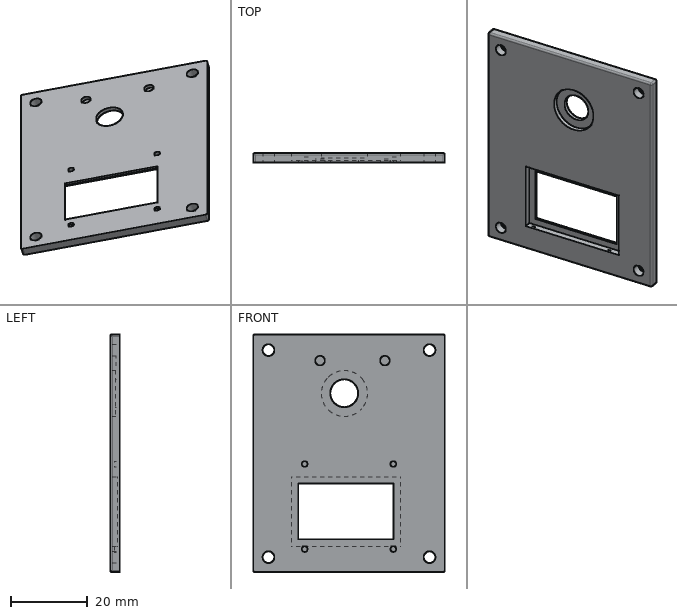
import cadquery as cq

WIDTH = 50.0
THICKNESS = 2.5
HEIGHT = 62.0
EDGE_RADIUS = 0.5

MOUNT_DIAMETER = 3.0
MOUNT_SPACING_X = 42.0
MOUNT_SPACING_Z = 54.0
MOUNT_CENTER = (0.0, -0.1)

OPENING_DIAMETER = 7.2
OPENING_CENTER = (-1.25, 15.65)
OPENING_LIP = 1.2
OPENING_RECESS_DIAMETER = 12.0

WINDOW_WIDTH = 24.8
WINDOW_HEIGHT = 14.5
WINDOW_CENTER = (-0.8, -15.15)
WINDOW_LIP = 0.65
WINDOW_POCKET_MARGIN = 1.8

PILOT_DIAMETER = 1.5
PILOT_SPACING_X = 23.1
PILOT_SPACING_Z = 22.2
PILOT_CENTER = (0.0, -13.9)
PILOT_DEPTH = 1.5

LOCATING_DIAMETER = 2.5
LOCATING_SPACING = 16.9
LOCATING_CENTER = (0.9, 24.15)
LOCATING_DEPTH = 1.0


def rectangle_corners(center, spacing_x, spacing_z):
    """Corner points of a rectangle on the front face."""
    x, z = center
    return [
        (x + side_x * spacing_x / 2, z + side_z * spacing_z / 2)
        for side_x in (-1, 1)
        for side_z in (-1, 1)
    ]


def plane_at(depth):
    """Plane parallel to the front face (normal along -Y), at a depth inside the plate."""
    return cq.Workplane("XZ").workplane(offset=-depth)


def front_holes(points, diameter, depth):
    """Round cutters that start at the front face and run into the plate."""
    return plane_at(0).pushPoints(points).circle(diameter / 2).extrude(-depth)


def make_plate():
    """Plate with rounded corners and a rounded rim on its back face."""
    block = plane_at(0).rect(WIDTH, HEIGHT).extrude(-THICKNESS)
    return block.edges("|Y").fillet(EDGE_RADIUS).faces(">Y").edges().fillet(EDGE_RADIUS)


def make_window():
    """Window cutter: a through cut with a wider pocket behind its thin front lip."""
    through = plane_at(0).center(*WINDOW_CENTER).rect(WINDOW_WIDTH, WINDOW_HEIGHT).extrude(-THICKNESS)
    pocket = (
        plane_at(WINDOW_LIP)
        .center(*WINDOW_CENTER)
        .rect(WINDOW_WIDTH + 2 * WINDOW_POCKET_MARGIN, WINDOW_HEIGHT + 2 * WINDOW_POCKET_MARGIN)
        .extrude(-(THICKNESS - WINDOW_LIP))
    )
    return through.union(pocket)


def make_opening():
    """Round opening cutter with a wider round recess behind its front lip."""
    through = front_holes([OPENING_CENTER], OPENING_DIAMETER, THICKNESS)
    recess = (
        plane_at(OPENING_LIP)
        .center(*OPENING_CENTER)
        .circle(OPENING_RECESS_DIAMETER / 2)
        .extrude(-(THICKNESS - OPENING_LIP))
    )
    return through.union(recess)


mount_points = rectangle_corners(MOUNT_CENTER, MOUNT_SPACING_X, MOUNT_SPACING_Z)
pilot_points = rectangle_corners(PILOT_CENTER, PILOT_SPACING_X, PILOT_SPACING_Z)
locating_x, locating_z = LOCATING_CENTER
locating_points = [(locating_x + side * LOCATING_SPACING / 2, locating_z) for side in (-1, 1)]

result = (
    make_plate()
    .cut(front_holes(mount_points, MOUNT_DIAMETER, THICKNESS))
    .cut(make_opening())
    .cut(make_window())
    .cut(front_holes(pilot_points, PILOT_DIAMETER, PILOT_DEPTH))
    .cut(front_holes(locating_points, LOCATING_DIAMETER, LOCATING_DEPTH))
)